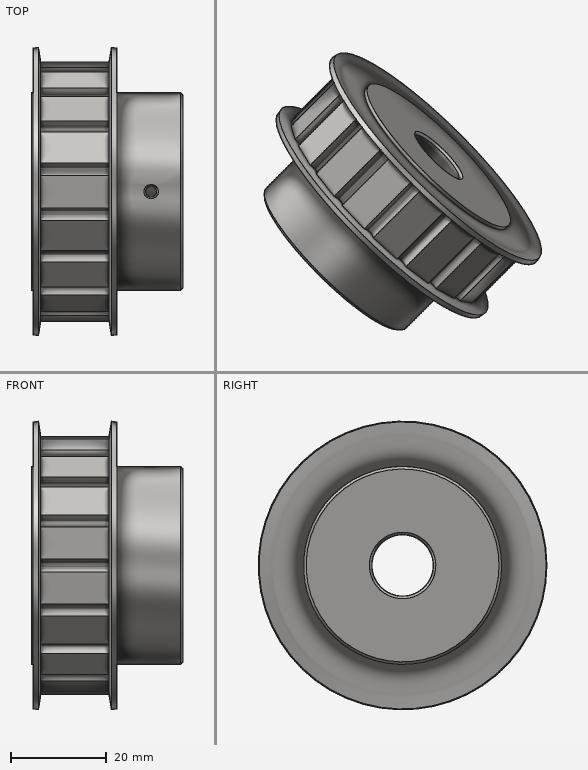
import cadquery as cq
import math


total_length = 31.75
hub_radius = 20.7
bore_radius = 6.4
edge_chamfer = 0.55

flange_radius = 30.15
boss_height = 0.35
flange_span = 17.5
flange_thickness = 1.15
lip_start_radius = 27.25
lip_angle = math.radians(9)

tooth_count = 18
tooth_radius = 27.15
groove_floor_radius = 25.5
groove_top_width = 2.65
groove_floor_width = 1.15
groove_fillet = 0.4

screw_x = 25.05
screw_radius = 1.15
screw_chamfer = 0.35

rim_drop = flange_thickness * math.sin(lip_angle)
rim_width = flange_thickness * math.cos(lip_angle)
inner_lip_depth = (flange_radius - lip_start_radius) * math.tan(lip_angle)
outer_lip_depth = (flange_radius - rim_drop - lip_start_radius) * math.tan(lip_angle)

flange_end = boss_height + flange_span
track_start = boss_height + rim_width + inner_lip_depth
track_length = flange_span - 2 * (rim_width + inner_lip_depth)


def make_hub():
    hub = cq.Workplane("YZ").circle(hub_radius).extrude(total_length)
    return hub.faces(">X").chamfer(edge_chamfer)


def make_flange(rim_x, inward):
    """Dished disc with its rim at rim_x; inward is the X direction towards the belt."""
    profile = [
        (rim_x + inward * outer_lip_depth, 0),
        (rim_x + inward * outer_lip_depth, lip_start_radius),
        (rim_x, flange_radius - rim_drop),
        (rim_x + inward * rim_width, flange_radius),
        (rim_x + inward * (rim_width + inner_lip_depth), lip_start_radius),
        (rim_x + inward * (rim_width + inner_lip_depth), 0),
    ]
    return cq.Workplane("XY").polyline(profile).close().revolve(360, (0, 0, 0), (1, 0, 0))


def make_track():
    """Toothed drum: flat-topped teeth with a groove centred on -Y."""
    half_top = groove_top_width / 2
    half_floor = groove_floor_width / 2
    corner_radial = math.sqrt(tooth_radius**2 - half_top**2)
    groove = [
        (half_top, corner_radial),
        (half_floor, groove_floor_radius),
        (-half_floor, groove_floor_radius),
        (-half_top, corner_radial),
    ]
    outline = []
    for tooth in range(tooth_count):
        turn = math.pi + 2 * math.pi * tooth / tooth_count
        outline += [
            (r * math.cos(turn) + w * math.sin(turn), r * math.sin(turn) - w * math.cos(turn))
            for w, r in groove
        ]
    track = cq.Workplane("YZ", origin=(track_start, 0, 0)).polyline(outline).close().extrude(track_length)

    def is_floor_corner(edge):
        return math.hypot(edge.Center().y, edge.Center().z) < (groove_floor_radius + tooth_radius) / 2

    return track.edges("|X").filter(is_floor_corner).fillet(groove_fillet)


def make_bore():
    bore = cq.Workplane("YZ").circle(bore_radius).extrude(total_length)
    mouth_radius = bore_radius + edge_chamfer
    for face_x, inward in ((0, 1), (total_length, -1)):
        mouth = cq.Solid.makeCone(
            mouth_radius, bore_radius, edge_chamfer, cq.Vector(face_x, 0, 0), cq.Vector(inward, 0, 0)
        )
        bore = bore.union(cq.Workplane(mouth))
    return bore


def make_screw_hole():
    """Radial hole from the +Z side of the hub into the bore, with a chamfered mouth."""
    mouth_radius = screw_radius + screw_chamfer
    profile = [
        (0, 0),
        (screw_radius, 0),
        (screw_radius, hub_radius - screw_chamfer),
        (mouth_radius, hub_radius),
        (0, hub_radius),
    ]
    hole = cq.Workplane("XZ").polyline(profile).close().revolve(360, (0, 0, 0), (0, 1, 0))
    return hole.translate((screw_x, 0, 0))


result = (
    make_hub()
    .union(make_track())
    .union(make_flange(boss_height, 1))
    .union(make_flange(flange_end, -1))
    .cut(make_bore())
    .cut(make_screw_hole())
)